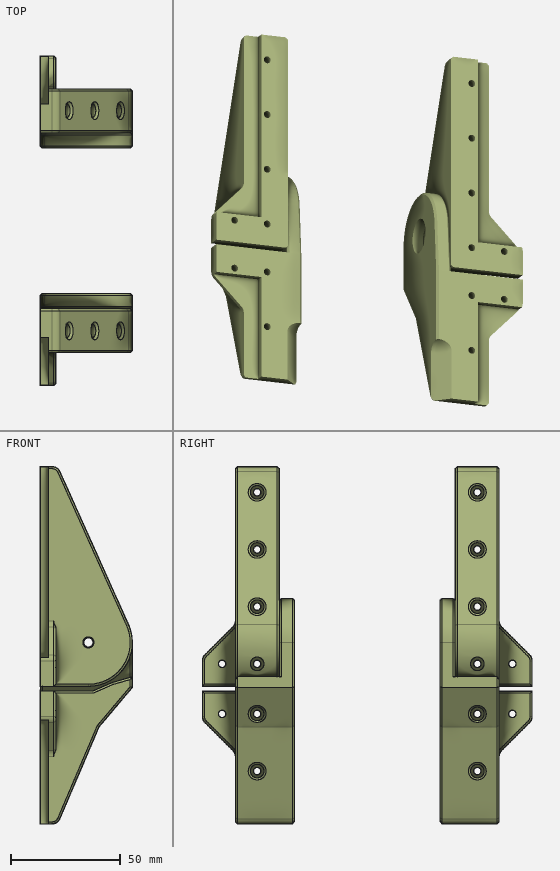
import cadquery as cq
import math


height = 162.6
depth = 42.0
width = 150.0
outer_y = width / 2
edge_chamfer = 1.0
corner_radius = 3.9
pick_margin = 0.2

pivot_radius = 20.0
pivot_x = depth - pivot_radius
pivot_z = 82.6

plate_inner_y = 33.0
plate_outer_y = 40.0
upper_inner_y = plate_outer_y
leaf_outer_y = 60.0

upper_bottom_z = pivot_z - pivot_radius
leaf_gap_z = 2.1
lower_top_z = upper_bottom_z - leaf_gap_z

end_x = 8.0
knee_x = 26.8
knee_z = 44.2
shoulder_z = 62.1
seat_flat_x = 23.9
seat_break_x = 32.8
seat_break_z = 64.4
seat_end_z = 67.0

flange_thickness = 7.2
flange_height = 13.2
step_depth = 3.9
step_y = 53.0

screw_diameter = 3.3
head_diameter = 6.2
screw_y = 50.0
flange_screw_y = 66.0
screw_pitch = 26.0
screw_from_pivot = 9.8
lower_first_screw_z = 50.0
upper_screw_z = [pivot_z - screw_from_pivot + i * screw_pitch for i in range(4)]
lower_screw_z = [lower_first_screw_z - i * screw_pitch for i in range(2)]

bolt_diameter = 4.2
bolt_chamfer = 0.4
bearing_diameter = 16.0
bearing_depth = 5.0
bearing_lip_diameter = 13.0

relief_size = 7.2
relief_radius = 4.7
relief_flat_z = 23.0


def xz_prism(profile, y_start, y_end):
    """Extrude a closed XZ profile from y_start to y_end."""
    return profile.extrude(-(y_end - y_start)).translate((0, y_start, 0))


def tangent_point(x, z):
    """Point where a line from (x, z) touches the pivot circle, turning clockwise about the pivot."""
    dx = x - pivot_x
    dz = z - pivot_z
    turn = math.acos(pivot_radius / math.hypot(dx, dz))
    angle = math.atan2(dz, dx) - turn
    return pivot_x + pivot_radius * math.cos(angle), pivot_z + pivot_radius * math.sin(angle)


def fillet_end(block, z):
    """Round the sharp front corner at the far end of a leaf."""
    low = (end_x - pick_margin, 0, z - pick_margin)
    high = (end_x + pick_margin, outer_y, z + pick_margin)
    return block.edges(cq.selectors.BoxSelector(low, high)).fillet(corner_radius)


def bore_x(diameter, y, z, x_start):
    """Cylinder along X from x_start out past the front."""
    return cq.Workplane("YZ").center(y, z).circle(diameter / 2).extrude(depth).translate((x_start, 0, 0))


def flange(edge_z, direction):
    """Mounting flange standing out from edge_z; direction is +1 upward or -1 downward."""
    reach = outer_y - leaf_outer_y
    free_z = edge_z + direction * flange_height
    root_z = free_z + direction * reach
    body = (
        cq.Workplane("YZ")
        .moveTo(step_y, edge_z)
        .lineTo(outer_y, edge_z)
        .lineTo(outer_y, free_z)
        .lineTo(leaf_outer_y, root_z)
        .lineTo(leaf_outer_y, root_z + direction * corner_radius)
        .lineTo(step_y, root_z + direction * corner_radius)
        .close()
        .extrude(flange_thickness)
    )
    for y, z in ((outer_y, free_z), (leaf_outer_y, root_z)):
        low = (0, y - pick_margin, z - pick_margin)
        high = (depth, y + pick_margin, z + pick_margin)
        body = body.edges(cq.selectors.BoxSelector(low, high)).fillet(corner_radius)
    return body.faces(">X").chamfer(edge_chamfer)


def step_cut(z_start, z_end):
    """Step in the mounting back, open to the outer side."""
    return (
        cq.Workplane("XY")
        .box(step_depth, outer_y - step_y, abs(z_end - z_start), centered=False)
        .translate((0, step_y, min(z_start, z_end)))
    )


def cut_head_bores(block, heights):
    """Screw-head bores along X from the flange plane out of the front, with chamfered mouths."""
    for z in heights:
        block = block.cut(bore_x(head_diameter, screw_y, z, flange_thickness))
    return block.edges("%ELLIPSE").chamfer(edge_chamfer)


def cut_screws(leaf, heights):
    """Screw holes through a leaf, and the one through its flange."""
    places = [(screw_y, z) for z in heights] + [(flange_screw_y, heights[0])]
    for y, z in places:
        leaf = leaf.cut(bore_x(screw_diameter, y, z, 0))
    return leaf


def bolt_mouth(y, direction):
    """Cone that chamfers one end of the bolt hole, narrowing along direction."""
    cone = cq.Solid.makeCone(bolt_diameter / 2 + bolt_chamfer, bolt_diameter / 2, bolt_chamfer,
                             cq.Vector(pivot_x, y, pivot_z), cq.Vector(0, direction, 0))
    return cq.Workplane(cone)


def bolt_hole():
    """Hole for the pivot bolt through the upper leaf, chamfered at both ends."""
    circle = cq.Workplane("XZ").center(pivot_x, pivot_z).circle(bolt_diameter / 2)
    hole = xz_prism(circle, upper_inner_y, leaf_outer_y)
    return hole.union(bolt_mouth(upper_inner_y, 1)).union(bolt_mouth(leaf_outer_y, -1))


def upper_leaf():
    """Upper leaf: tall wedge with a rounded pivot end; its inner face bears on the lower leaf's plate."""
    front = tangent_point(end_x, height)
    arc_reach = pivot_radius * math.cos(math.pi / 4)
    profile = (
        cq.Workplane("XZ")
        .moveTo(0, upper_bottom_z)
        .lineTo(pivot_x, upper_bottom_z)
        .threePointArc((pivot_x + arc_reach, pivot_z - arc_reach), front)
        .lineTo(end_x, height)
        .lineTo(0, height)
        .close()
    )
    leaf = xz_prism(profile, upper_inner_y, leaf_outer_y)
    leaf = fillet_end(leaf, height)
    leaf = cut_head_bores(leaf, upper_screw_z)
    inner_edges = leaf.faces("<Y").edges("not <X")
    leaf = leaf.faces(">Y").edges().add(inner_edges).chamfer(edge_chamfer)
    leaf = leaf.union(flange(upper_bottom_z, 1))
    leaf = leaf.cut(step_cut(upper_bottom_z + flange_height, height))
    return cut_screws(leaf.cut(bolt_hole()), upper_screw_z)


def front_of_lower(sketch):
    """Continue a profile from the shoulder down the front and along the bottom to the back."""
    return sketch.lineTo(depth, shoulder_z).lineTo(knee_x, knee_z).lineTo(end_x, 0).lineTo(0, 0).close()


def relief():
    """Sloping cut across the inner back corner with a rounded run-out at its top."""
    bottom_z = -relief_size
    inset = relief_size / math.sqrt(2)
    along = cq.Plane(origin=(0, plate_inner_y, 0), xDir=(1, 1, 0), normal=(1, -1, 0))
    return (
        cq.Workplane(along)
        .moveTo(inset, bottom_z)
        .lineTo(inset, relief_flat_z)
        .radiusArc((inset - relief_radius, relief_flat_z + relief_radius), -relief_radius)
        .lineTo(-inset, relief_flat_z + relief_radius)
        .lineTo(-inset, bottom_z)
        .close()
        .extrude(2 * relief_size, both=True)
    )


def bearing_seat():
    """Bearing bore from the inner side, with a smaller bore on through the pivot plate."""
    bearing = cq.Workplane("XZ").center(pivot_x, pivot_z).circle(bearing_diameter / 2)
    lip = cq.Workplane("XZ").center(pivot_x, pivot_z).circle(bearing_lip_diameter / 2)
    seat = xz_prism(bearing, plate_inner_y, plate_inner_y + bearing_depth)
    return seat.union(xz_prism(lip, plate_inner_y, plate_outer_y))


def lower_leaf():
    """Lower leaf: pivot plate on the inner side and a thicker block under the upper leaf's seat."""
    back = tangent_point(0, lower_top_z)
    plate = front_of_lower(
        cq.Workplane("XZ")
        .moveTo(0, lower_top_z)
        .lineTo(*back)
        .threePointArc((pivot_x, pivot_z + pivot_radius), (depth, pivot_z))
    )
    plate = fillet_end(xz_prism(plate, plate_inner_y, plate_outer_y), 0)
    plate = plate.faces("<Y or >Y").chamfer(edge_chamfer)

    block = front_of_lower(
        cq.Workplane("XZ")
        .moveTo(0, lower_top_z)
        .lineTo(seat_flat_x, lower_top_z)
        .lineTo(seat_break_x, seat_break_z)
        .lineTo(depth, seat_end_z)
    )
    block = fillet_end(xz_prism(block, plate_inner_y + edge_chamfer, leaf_outer_y), 0)
    block = cut_head_bores(block, lower_screw_z)
    block = block.faces(">Y").chamfer(edge_chamfer)

    leaf = plate.union(block).union(flange(lower_top_z, -1))
    leaf = leaf.cut(step_cut(lower_top_z - flange_height, 0))
    leaf = leaf.cut(relief()).cut(bearing_seat())
    return cut_screws(leaf, lower_screw_z)


def both_sides(leaf):
    """The solid of a leaf on the +Y side and its mirror image on the -Y side."""
    return [side.solids().val() for side in (leaf, leaf.mirror("XZ"))]


upper_leaves = both_sides(upper_leaf())
lower_leaves = both_sides(lower_leaf())
result = cq.Compound.makeCompound([*upper_leaves, *lower_leaves])